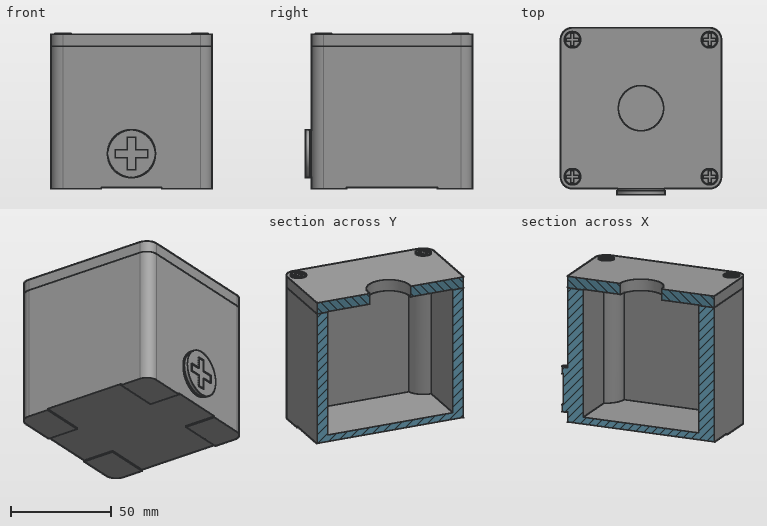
import cadquery as cq

side = 80.0
corner_radius = 6.0
screw_rise = 0.3
total_height = 77.2
lid_thickness = 6.0
lid_top = total_height - screw_rise
base_height = lid_top - lid_thickness

wall_x = 6.0
wall_y = 8.8
floor_thickness = 4.5
post_radius = 9.6

channel_depth = 0.7
channel_along_y_width = 30.0
channel_along_x_width = 45.0

plug_reach = 3.0
plug_radius = 11.95
plug_neck_radius = 11.6
plug_neck_length = 0.9
plug_height = 17.5
plug_cross_length = 16.1
plug_cross_width = 4.1
plug_cross_depth = 0.5

lid_hole_diameter = 22.5
screw_radius = 4.1
screw_chamfer = 0.25
screw_cross_length = 6.15
screw_cross_width = 1.5
screw_cross_depth = 0.25

screw_offset = side / 2 - corner_radius
screw_points = [(x, y) for x in (-screw_offset, screw_offset) for y in (-screw_offset, screw_offset)]


def rounded_block(bottom, height):
    """Square block with the enclosure's rounded vertical edges."""
    block = cq.Workplane("XY").workplane(offset=bottom).rect(side, side).extrude(height)
    return block.edges("|Z").fillet(corner_radius)


def cross(plane, length, width, depth):
    """Cross-shaped cutter extruded along the normal of the plane."""
    bar = cq.Workplane(plane).rect(length, width).extrude(depth)
    return bar.union(cq.Workplane(plane).rect(width, length).extrude(depth))


def screw_columns(bottom, radius, height):
    """Upright cylinder on each of the four screw axes."""
    return (
        cq.Workplane("XY")
        .workplane(offset=bottom)
        .pushPoints(screw_points)
        .circle(radius)
        .extrude(height)
    )


def make_cavity():
    """Open-topped interior with the four corner posts left standing."""
    depth = base_height - floor_thickness
    cavity = (
        cq.Workplane("XY")
        .workplane(offset=floor_thickness)
        .rect(side - 2 * wall_x, side - 2 * wall_y)
        .extrude(depth)
    )
    return cavity.cut(screw_columns(floor_thickness, post_radius, depth))


def make_plug():
    """Plug head on a slightly narrower neck, with a cross recess in its face."""
    wall_plane = cq.Plane(origin=(0, -side / 2, plug_height), xDir=(1, 0, 0), normal=(0, -1, 0))
    face_plane = cq.Plane(
        origin=(0, -side / 2 - plug_reach, plug_height), xDir=(1, 0, 0), normal=(0, 1, 0)
    )
    neck = cq.Workplane(wall_plane).circle(plug_neck_radius).extrude(plug_neck_length)
    head = (
        cq.Workplane(wall_plane)
        .workplane(offset=plug_neck_length)
        .circle(plug_radius)
        .extrude(plug_reach - plug_neck_length)
    )
    recess = cross(face_plane, plug_cross_length, plug_cross_width, plug_cross_depth)
    return neck.union(head).cut(recess)


def make_base():
    """Hollow box with channels under its floor and the plug on its -Y wall."""
    base = rounded_block(0, base_height).cut(make_cavity())
    channel_along_y = cq.Workplane("XY").rect(channel_along_y_width, side).extrude(channel_depth)
    channel_along_x = cq.Workplane("XY").rect(side, channel_along_x_width).extrude(channel_depth)
    return base.cut(channel_along_y).cut(channel_along_x).union(make_plug())


def make_lid():
    """Flat lid with a central hole and a screw head at each corner."""
    lid = rounded_block(base_height, lid_thickness)
    hole = (
        cq.Workplane("XY")
        .workplane(offset=base_height)
        .circle(lid_hole_diameter / 2)
        .extrude(lid_thickness)
    )
    heads = screw_columns(lid_top, screw_radius, screw_rise).faces(">Z").chamfer(screw_chamfer)
    lid = lid.cut(hole).union(heads)
    for x, y in screw_points:
        recess_plane = cq.Plane(
            origin=(x, y, total_height - screw_cross_depth), xDir=(1, 0, 0), normal=(0, 0, 1)
        )
        lid = lid.cut(cross(recess_plane, screw_cross_length, screw_cross_width, screw_cross_depth))
    return lid


base = make_base()
lid = make_lid()

result = cq.Compound.makeCompound([base.val(), lid.val()])